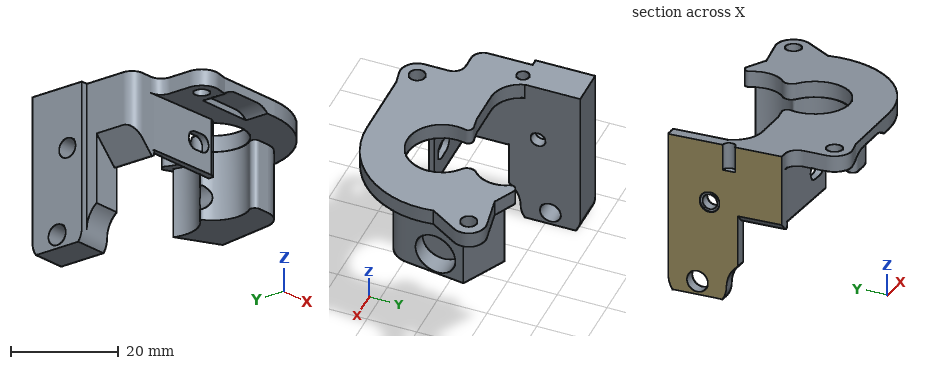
import cadquery as cq
import math


overall_length = 51.75

arm_outer_x = 0
arm_inner_x = 7.35
arm_front_y = 22.15
arm_back_y = 34.15
arm_mid_y = (arm_front_y + arm_back_y) / 2
arm_bottom_z = -31.95
arm_step_x = 1.45
arm_rib_front_y = 19.8
arm_rib_bottom_z = -24.55
arm_end_start_z = -29.25
arm_end_half_width = 5.1
pivot_hole_dia = 4.2
bolt_y = 25.65
bolt_z = -12.4
bolt_hole_dia = 3.0
bolt_head_dia = 4.0
bolt_head_depth = 5.15
pin_x = 5.0
pin_y = 21.7
pin_hole_dia = 2.5
pin_hole_depth = 5.15

block_corner_radius = 2.5
block_front_y = 10.8
block_slope_top_z = -10.6
block_toe_radius = 0.5

web_end_x = 24.5
web_chamfer_x = 23.5
web_chamfer_front_y = 10.4
web_chamfer_back_y = 10.85
web_back_y = 11.9
web_bottom_z = -14.45
slot_x = 19.9
slot_z = -8.9
slot_length = 5.55
slot_height = 3.6

plate_thickness = 3.25
plate_front_y = 0.6
plate_back_y = 18.55
plate_left_x = 8.9
screw_hole_dia = 3.2
lug_radius = 3.45
lug_center = (plate_left_x + lug_radius, lug_radius)
lug_line_end_x = 15.7
ear_radius = 3.45
ear_center = (overall_length - ear_radius, 28.55)
ear_line_end = (47.8, 21.25)
rim_radius = 18.0
rim_center = (30.0, plate_front_y + rim_radius)
bore_center = (30.4, 15.9)
bore_radius = 7.0
hook_center = (bore_center[0], 28.65)
hook_radius = 5.9
nose_radius = 1.8
tip_radius = 1.05
tip_y = 31.95
tip_line_end = (41.05, 30.8)
lip_y = 17.95
lip_line_start_x = 19.95
elbow_radius = 6.0
elbow_center = (13.15, plate_back_y + elbow_radius)

trough_x = 21.8
trough_floor_width = 6.2
trough_mouth_width = 12.4
trough_depth = 1.25
trough_back_y = 5.8

tower_bottom_z = -16.95
tower_nose_radius = 0.5
tower_front_y = 10.2
tower_bore_radius = 7.1
tower_hook_radius = 7.5
tower_tail_radius = 1.05
tower_corner_x = 39.55
tower_corner_radius = 5.05
tower_side_tilt = 8.0
tower_right_x = 46.3
tower_back_corner = (37.35, 31.35)
tower_nose_notch_x = 33.15
tower_nose_notch_dia = 5.4
tower_pocket_y = 20.7
tower_pocket_dia = 8.5
tower_pocket_floor_x = 41.4


def polar(center, radius, degrees):
    angle = math.radians(degrees)
    return (center[0] + radius * math.cos(angle), center[1] + radius * math.sin(angle))


def direction(start, end):
    """Angle in degrees of the line from start to end."""
    return math.degrees(math.atan2(end[1] - start[1], end[0] - start[0]))


def tangent_point(point, center, radius, side):
    """Where a line from point touches a circle; side is +1 or -1, seen from the center."""
    spread = math.degrees(math.acos(radius / math.dist(point, center)))
    return polar(center, radius, direction(center, point) + side * spread)


def other_leg(hypotenuse, leg):
    """Second leg of a right triangle."""
    return math.sqrt(hypotenuse ** 2 - leg ** 2)


def radius_from_rise(rise, run):
    """Radius of an arc that leaves its tangent line by rise over a length of run."""
    return (rise ** 2 + run ** 2) / (2 * rise)


def arc_to(sketch, center, radius, middle_angle, end):
    """Arc to end through the circle point at middle_angle, which lies anywhere between the ends."""
    return sketch.threePointArc(polar(center, radius, middle_angle), end)


def make_plate():
    elbow_drop = other_leg(elbow_radius, elbow_center[0] - arm_inner_x)
    elbow_top = (arm_inner_x, elbow_center[1] - elbow_drop)
    lip_reach = other_leg(bore_radius + tip_radius, lip_y - bore_center[1])
    lip_center = (bore_center[0] - lip_reach, lip_y)
    lip_line_start = (lip_line_start_x, plate_back_y)
    lip_top = tangent_point(lip_line_start, lip_center, tip_radius, -1)
    lip_end = polar(lip_center, tip_radius, direction(lip_center, bore_center))

    span = hook_center[1] - bore_center[1]
    to_bore = bore_radius + nose_radius
    to_hook = hook_radius + nose_radius
    nose_rise = (span ** 2 + to_bore ** 2 - to_hook ** 2) / (2 * span)
    nose_center = (bore_center[0] + other_leg(to_bore, nose_rise), bore_center[1] + nose_rise)
    nose_start = polar(nose_center, nose_radius, direction(nose_center, bore_center))
    nose_end = polar(nose_center, nose_radius, direction(nose_center, hook_center))

    tip_reach = other_leg(hook_radius + tip_radius, tip_y - hook_center[1])
    tip_center = (hook_center[0] + tip_reach, tip_y)
    tip_start = polar(tip_center, tip_radius, direction(tip_center, hook_center))
    tip_end = tangent_point(tip_line_end, tip_center, tip_radius, 1)

    ear_start = tangent_point(tip_line_end, ear_center, ear_radius, -1)
    ear_end = tangent_point(ear_line_end, ear_center, ear_radius, 1)
    lug_line_end = (lug_line_end_x, plate_front_y)
    lug_start = tangent_point(lug_line_end, lug_center, lug_radius, -1)

    notch_corner_x = plate_left_x - block_corner_radius
    notch_center = (notch_corner_x, block_front_y - block_corner_radius)

    outline = cq.Workplane("XY").moveTo(arm_outer_x, arm_back_y)
    outline = outline.lineTo(arm_inner_x, arm_back_y).lineTo(*elbow_top)
    outline = arc_to(outline, elbow_center, elbow_radius, -130, (elbow_center[0], plate_back_y))
    outline = outline.lineTo(*lip_line_start).lineTo(*lip_top)
    outline = arc_to(outline, lip_center, tip_radius, 45, lip_end)
    outline = arc_to(outline, bore_center, bore_radius, -90, nose_start)
    outline = arc_to(outline, nose_center, nose_radius, 180, nose_end)
    outline = arc_to(outline, hook_center, hook_radius, 0, tip_start)
    outline = arc_to(outline, tip_center, tip_radius, 135, tip_end)
    outline = outline.lineTo(*tip_line_end).lineTo(*ear_start)
    outline = arc_to(outline, ear_center, ear_radius, 45, ear_end)
    outline = outline.lineTo(*ear_line_end)
    outline = arc_to(outline, rim_center, rim_radius, -45, (rim_center[0], plate_front_y))
    outline = outline.lineTo(*lug_line_end).lineTo(*lug_start)
    outline = arc_to(outline, lug_center, lug_radius, -135, (plate_left_x, lug_center[1]))
    outline = outline.lineTo(plate_left_x, notch_center[1])
    outline = arc_to(outline, notch_center, block_corner_radius, 45, (notch_corner_x, block_front_y))
    outline = add_block_corner(outline)
    outline = outline.lineTo(arm_step_x, arm_front_y).lineTo(arm_outer_x, arm_front_y).close()
    plate = outline.extrude(-plate_thickness)
    holes = cq.Workplane("XY").pushPoints([lug_center, ear_center]).circle(screw_hole_dia / 2)
    return plate.cut(holes.extrude(-plate_thickness)).cut(make_trough())


def add_block_corner(outline):
    corner_x = arm_step_x + block_corner_radius
    corner_center = (corner_x, block_front_y + block_corner_radius)
    outline = outline.lineTo(corner_x, block_front_y)
    return arc_to(outline, corner_center, block_corner_radius, -135, (arm_step_x, corner_center[1]))


def make_trough():
    side_run = (trough_mouth_width - trough_floor_width) / 2
    side_radius = radius_from_rise(trough_depth, side_run)
    half_sweep = math.degrees(math.asin(side_run / side_radius)) / 2
    mouth_z = -plate_thickness
    floor_z = mouth_z + trough_depth
    center_z = floor_z - side_radius
    right_x = trough_x + trough_floor_width / 2
    left_x = trough_x - trough_floor_width / 2
    profile = cq.Workplane("XZ").moveTo(left_x - side_run, mouth_z)
    profile = arc_to(profile, (left_x, center_z), side_radius, 90 + half_sweep, (left_x, floor_z))
    profile = profile.lineTo(right_x, floor_z)
    mouth_end = (right_x + side_run, mouth_z)
    profile = arc_to(profile, (right_x, center_z), side_radius, 90 - half_sweep, mouth_end)
    return profile.close().extrude(-trough_back_y)


def make_block():
    outline = cq.Workplane("XY").moveTo(arm_inner_x, arm_front_y)
    outline = outline.lineTo(arm_inner_x, block_front_y)
    outline = add_block_corner(outline).lineTo(arm_step_x, arm_front_y).close()
    toe_z = block_slope_top_z - (arm_inner_x - arm_step_x)
    block = outline.extrude(toe_z)
    profile = cq.Workplane("XZ").polyline(
        [(arm_step_x, 0), (arm_inner_x, 0), (arm_inner_x, toe_z), (arm_step_x, block_slope_top_z)]
    )
    wedge = profile.close().extrude(-arm_front_y)
    toe_edge = wedge.edges(cq.NearestToPointSelector((arm_inner_x, arm_front_y / 2, toe_z)))
    wedge = toe_edge.fillet(block_toe_radius)
    return block.intersect(wedge)


def make_arm():
    half_width = (arm_back_y - arm_front_y) / 2
    inset = half_width - arm_end_half_width
    drop = arm_end_start_z - arm_bottom_z
    end_radius = radius_from_rise(inset, drop)
    half_sweep = math.degrees(math.asin(drop / end_radius)) / 2
    back_center = (arm_back_y - end_radius, arm_end_start_z)
    front_center = (arm_front_y + end_radius, arm_end_start_z)
    arm = cq.Workplane("YZ").moveTo(arm_front_y, 0).lineTo(arm_back_y, 0).lineTo(arm_back_y, arm_end_start_z)
    arm = arc_to(arm, back_center, end_radius, -half_sweep, (arm_back_y - inset, arm_bottom_z))
    arm = arm.lineTo(arm_front_y + inset, arm_bottom_z)
    arm = arc_to(arm, front_center, end_radius, 180 + half_sweep, (arm_front_y, arm_end_start_z))
    return arm.close().extrude(arm_inner_x).union(make_arm_rib())


def make_arm_rib():
    """Forward thickening of the arm that fades out along a hollow arc at its lower end."""
    depth = arm_front_y - arm_rib_front_y
    height = arm_rib_bottom_z - arm_end_start_z
    radius = radius_from_rise(depth, height)
    half_sweep = math.degrees(math.asin(height / radius)) / 2
    rib = cq.Workplane("YZ", origin=(arm_step_x, 0, 0)).moveTo(arm_front_y, 0)
    rib = rib.lineTo(arm_front_y, arm_end_start_z)
    center = (arm_front_y - radius, arm_end_start_z)
    rib = arc_to(rib, center, radius, half_sweep, (arm_rib_front_y, arm_rib_bottom_z))
    return rib.lineTo(arm_rib_front_y, 0).close().extrude(arm_inner_x - arm_step_x)


def make_web():
    outline = cq.Workplane("XY").polyline(
        [
            (arm_inner_x, block_front_y),
            (web_chamfer_x, web_chamfer_front_y),
            (web_end_x, web_chamfer_back_y),
            (web_end_x, web_back_y),
            (arm_inner_x, web_back_y),
        ]
    )
    slot = cq.Workplane("XZ").center(slot_x, slot_z).slot2D(slot_length, slot_height).extrude(-web_back_y)
    return outline.close().extrude(web_bottom_z).cut(slot)


def make_tower():
    corner_center = (tower_corner_x, tower_front_y + tower_corner_radius)
    side_start = polar(corner_center, tower_corner_radius, -tower_side_tilt)
    side_rise = (tower_right_x - side_start[0]) / math.tan(math.radians(tower_side_tilt))
    height = -plate_thickness - tower_bottom_z
    base = cq.Workplane("XY", origin=(0, 0, tower_bottom_z))
    outline = base.moveTo(bore_center[0], tower_front_y).lineTo(tower_corner_x, tower_front_y)
    outline = arc_to(outline, corner_center, tower_corner_radius, -45, side_start)
    outline = outline.lineTo(tower_right_x, side_start[1] + side_rise).lineTo(*tower_back_corner)
    tower = outline.lineTo(bore_center[0], tower_back_corner[1]).close().extrude(height)
    for center, radius in ((bore_center, tower_bore_radius), (hook_center, tower_hook_radius)):
        tower = tower.cut(base.moveTo(*center).circle(radius).extrude(height))
    tail_corner = (bore_center[0], tower_front_y, tower_bottom_z / 2)
    nose_corner = (bore_center[0], (bore_center[1] + hook_center[1]) / 2, tower_bottom_z / 2)
    for corner, radius in ((tail_corner, tower_tail_radius), (nose_corner, tower_nose_radius)):
        tower = tower.edges("|Z").edges(cq.NearestToPointSelector(corner)).fillet(radius)
    notch = cq.Workplane("XZ").center(tower_nose_notch_x, bolt_z).circle(tower_nose_notch_dia / 2)
    pocket_depth = tower_right_x - tower_pocket_floor_x
    pocket = hole_along_x(tower_pocket_y, bolt_z, tower_pocket_dia, pocket_depth)
    return tower.cut(notch.extrude(-arm_back_y)).cut(pocket.translate((tower_pocket_floor_x, 0, 0)))


def hole_along_x(y, z, diameter, depth):
    return cq.Workplane("YZ").center(y, z).circle(diameter / 2).extrude(depth)


result = make_plate().union(make_block()).union(make_arm()).union(make_web()).union(make_tower())

result = result.cut(hole_along_x(arm_mid_y, arm_end_start_z, pivot_hole_dia, arm_inner_x))
result = result.cut(hole_along_x(bolt_y, bolt_z, bolt_hole_dia, arm_inner_x))
result = result.cut(hole_along_x(bolt_y, bolt_z, bolt_head_dia, bolt_head_depth))
result = result.cut(cq.Workplane("XY").center(pin_x, pin_y).circle(pin_hole_dia / 2).extrude(-pin_hole_depth))